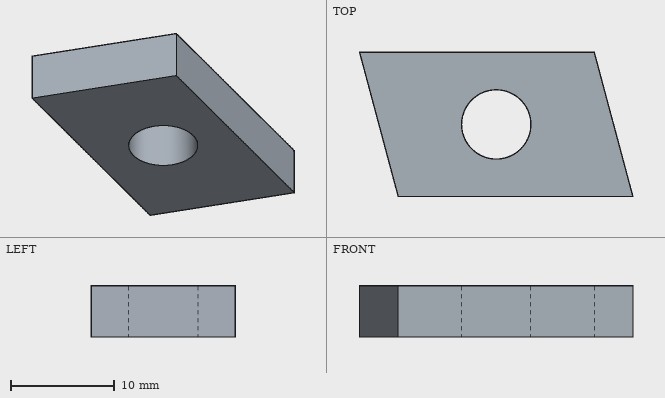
import cadquery as cq
import math

thickness = 5.0
depth = 14.0
slanted_distance = 22.0
slant_angle = 15.0
hole_diameter = 6.7

slant = math.radians(slant_angle)
side_length = slanted_distance / math.cos(slant)
lean = depth * math.tan(slant)


def parallelogram_plate():
    """Plate centred on the origin in XY, leaning towards -X as Y increases."""
    half_side = side_length / 2
    half_lean = lean / 2
    half_depth = depth / 2
    corners = [
        (-half_side + half_lean, -half_depth),
        (half_side + half_lean, -half_depth),
        (half_side - half_lean, half_depth),
        (-half_side - half_lean, half_depth),
    ]
    return cq.Workplane("XY").polyline(corners).close().extrude(thickness)


def drill_centre_hole(plate):
    """Through hole at the centre of the plate."""
    return plate.faces(">Z").workplane(origin=(0, 0, thickness)).hole(hole_diameter)


result = drill_centre_hole(parallelogram_plate())